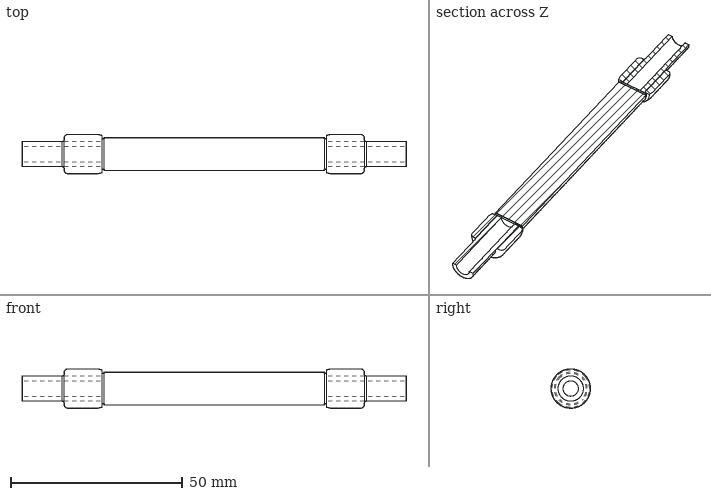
import cadquery as cq
import math

overall_length = 112.1

rod_radius = 4.8
rod_half_length = 32.2

spacer_radius = 4.5
spacer_thickness = 0.6

collar_radius = 5.77
collar_length = 11.1
inner_taper_length = 1.2
inner_taper_drop = 0.31
outer_round = 1.1
neck_fillet = 0.6

end_tube_radius = 3.7
bore_radius = 2.2

collar_start = rod_half_length + spacer_thickness
collar_end = collar_start + collar_length
end_tube_length = overall_length / 2 - collar_start

ARC_MIDDLE = math.sqrt(0.5)


def along_x(start):
    """Sketch plane across the X axis at the given X."""
    return cq.Workplane("YZ", origin=(start, 0, 0))


def make_rod():
    return along_x(-rod_half_length).circle(rod_radius).extrude(2 * rod_half_length)


def make_spacer():
    """Plain disc that also closes the inner end of the end tube's bore."""
    return along_x(rod_half_length).circle(spacer_radius).extrude(spacer_thickness)


def make_end_tube():
    return along_x(collar_start).circle(end_tube_radius).circle(bore_radius).extrude(end_tube_length)


def arc_middle(center_x, center_radius, radius, x_side, radial_side):
    """Middle point of a quarter arc; the side signs pick the quadrant."""
    offset = radius * ARC_MIDDLE
    return (center_x + x_side * offset, center_radius + radial_side * offset)


def make_collar():
    """Revolved sleeve with a tapered inner end, a rounded outer end and a concave neck against the end tube."""
    outer_center = (collar_end - outer_round, collar_radius - outer_round)
    neck_center = (collar_end + neck_fillet, end_tube_radius + neck_fillet)
    profile = (
        cq.Workplane("XY")
        .moveTo(collar_start, end_tube_radius)
        .lineTo(collar_start, collar_radius - inner_taper_drop)
        .lineTo(collar_start + inner_taper_length, collar_radius)
        .lineTo(outer_center[0], collar_radius)
        .threePointArc(arc_middle(*outer_center, outer_round, 1, 1), (collar_end, outer_center[1]))
        .lineTo(collar_end, neck_center[1])
        .threePointArc(arc_middle(*neck_center, neck_fillet, -1, -1), (neck_center[0], end_tube_radius))
        .close()
    )
    return profile.revolve(360, (0, 0, 0), (1, 0, 0))


rod = make_rod()
bodies = [rod.val()]
for make_body in (make_spacer, make_collar, make_end_tube):
    right_body = make_body()
    left_body = right_body.mirror("YZ")
    bodies += [right_body.val(), left_body.val()]

result = cq.Compound.makeCompound(bodies)